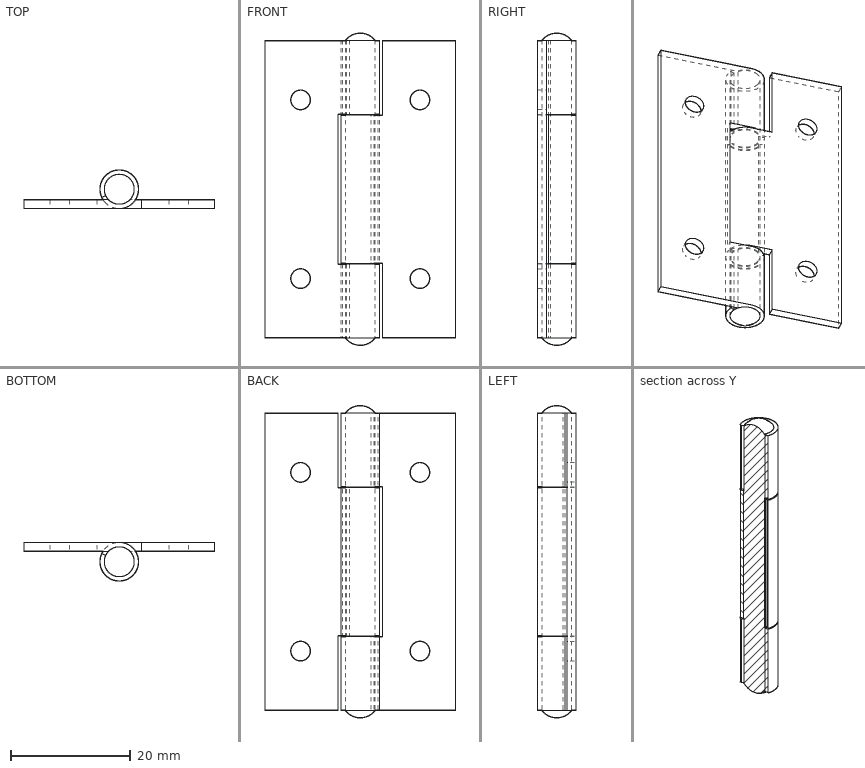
import cadquery as cq
import math

total_height = 52.5
open_width = 32.0
leaf_height = 50.0
leaf_thickness = 1.5

knuckle_radius = 3.25
pin_radius = 2.5
curl_end_angle = 25.0
dome_height = (total_height - leaf_height) / 2

leaf_setback = 3.75
middle_notch = 25.2
axial_clearance = 0.15
middle_knuckle = middle_notch - 2 * axial_clearance
outer_knuckle = (leaf_height - middle_notch) / 2

hole_diameter = 3.25
hole_spacing_x = 20.05
hole_spacing_z = 30.05

leaf_front = -knuckle_radius
leaf_back = leaf_front + leaf_thickness


def make_rolled_knuckle(z_start, height):
    """Strip along the -X leaf, rolled around the pin into an open curl."""
    angle = math.radians(curl_end_angle)
    end_x = -math.cos(angle)
    end_y = -math.sin(angle)
    bore_x = -math.sqrt(pin_radius**2 - leaf_back**2)
    profile = (
        cq.Workplane("XY", origin=(0, 0, z_start))
        .moveTo(-leaf_setback, leaf_front)
        .lineTo(0, leaf_front)
        .threePointArc((knuckle_radius, 0), (0, knuckle_radius))
        .threePointArc((-knuckle_radius, 0), (knuckle_radius * end_x, knuckle_radius * end_y))
        .lineTo(pin_radius * end_x, pin_radius * end_y)
        .threePointArc((0, pin_radius), (pin_radius, 0))
        .threePointArc((0, -pin_radius), (bore_x, leaf_back))
        .lineTo(-leaf_setback, leaf_back)
        .close()
    )
    return profile.extrude(height)


def make_plate():
    """Flat part of the -X leaf with its two screw holes."""
    plate_width = open_width / 2 - leaf_setback
    plate = cq.Workplane("XY").box(plate_width, leaf_thickness, leaf_height).translate(
        (-leaf_setback - plate_width / 2, leaf_front + leaf_thickness / 2, 0)
    )
    holes = (
        cq.Workplane("XZ", origin=(-hole_spacing_x / 2, leaf_back, 0))
        .pushPoints([(0, -hole_spacing_z / 2), (0, hole_spacing_z / 2)])
        .circle(hole_diameter / 2)
        .extrude(leaf_thickness)
    )
    return plate.cut(holes)


def make_outer_leaf():
    """Leaf on the -X side, with a knuckle at each end."""
    leaf = make_plate()
    for z_start in (-leaf_height / 2, middle_notch / 2):
        leaf = leaf.union(make_rolled_knuckle(z_start, outer_knuckle))
    return leaf


def make_middle_leaf():
    """Leaf on the +X side, with one knuckle in the middle."""
    knuckle = make_rolled_knuckle(-middle_knuckle / 2, middle_knuckle)
    return make_plate().union(knuckle).mirror("YZ")


def make_pin():
    """Straight pin with a shallow spherical dome beyond each leaf end."""
    shoulder_z = leaf_height / 2
    tip_z = total_height / 2
    dome_radius = (pin_radius**2 + dome_height**2) / (2 * dome_height)
    half_angle = math.asin(pin_radius / dome_radius) / 2
    mid_x = dome_radius * math.sin(half_angle)
    mid_z = tip_z - dome_radius * (1 - math.cos(half_angle))
    return (
        cq.Workplane("XZ")
        .moveTo(0, -tip_z)
        .threePointArc((mid_x, -mid_z), (pin_radius, -shoulder_z))
        .lineTo(pin_radius, shoulder_z)
        .threePointArc((mid_x, mid_z), (0, tip_z))
        .close()
        .revolve(360, (0, 0, 0), (0, 1, 0))
    )


outer_leaf = make_outer_leaf()
middle_leaf = make_middle_leaf()
pin = make_pin()

result = cq.Compound.makeCompound([outer_leaf.val(), middle_leaf.val(), pin.val()])